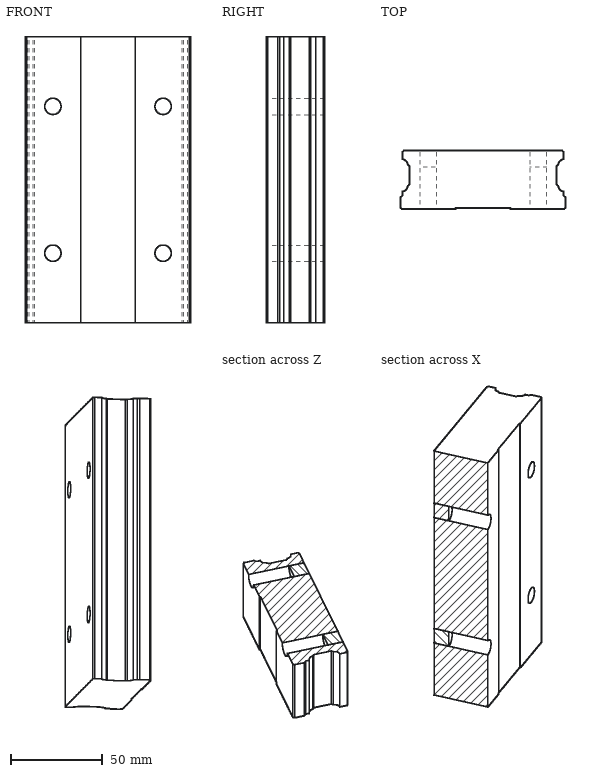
import cadquery as cq

length = 156.0
base_width = 90.0
height = 32.0

base_height = 6.4
head_width = 87.8
step_chamfer = (base_width - head_width) / 2
edge_chamfer = 0.8

groove_radius = 3.1
groove_height = 2.8

waist_width = 80.3
waist_bevel = 1.0
waist_bottom = 13.4
waist_top = 23.4

relief_width = 30.0
relief_depth = 0.5

hole_diameter = 8.9
hole_spacing_x = 60.0
hole_spacing_z = 80.0
plug_length = hole_diameter

hole_centers = [
    (side_x * hole_spacing_x / 2, side_z * hole_spacing_z / 2)
    for side_x in (-1, 1)
    for side_z in (-1, 1)
]


def half_rail():
    """The +X half of the rail section, extruded along the full length."""
    head_x = head_width / 2
    base_x = base_width / 2
    waist_x = waist_width / 2
    groove_x = waist_x + waist_bevel
    lower_groove_top = waist_bottom - waist_bevel
    lower_groove_bottom = lower_groove_top - groove_height
    upper_groove_bottom = waist_top + waist_bevel
    upper_groove_top = upper_groove_bottom + groove_height
    return (
        cq.Workplane("XY", origin=(0, 0, -length / 2))
        .moveTo(0, 0)
        .lineTo(base_x - edge_chamfer, 0)
        .lineTo(base_x, edge_chamfer)
        .lineTo(base_x, base_height)
        .lineTo(head_x, base_height + step_chamfer)
        .lineTo(head_x, lower_groove_bottom)
        .radiusArc((groove_x, lower_groove_top), groove_radius)
        .lineTo(waist_x, waist_bottom)
        .lineTo(waist_x, waist_top)
        .lineTo(groove_x, upper_groove_bottom)
        .radiusArc((head_x, upper_groove_top), groove_radius)
        .lineTo(head_x, height - edge_chamfer)
        .lineTo(head_x - edge_chamfer, height)
        .lineTo(0, height)
        .close()
        .extrude(length)
    )


def cylinder_along_y(center, start_y, cylinder_length):
    """Cylinder of the hole diameter, running toward +Y from start_y."""
    x, z = center
    return cq.Workplane(
        cq.Solid.makeCylinder(
            hole_diameter / 2, cylinder_length, cq.Vector(x, start_y, z), cq.Vector(0, 1, 0)
        )
    )


def make_rail():
    """Full rail with the relief in its mounting face and the four mounting holes."""
    right_half = half_rail()
    rail = right_half.union(right_half.mirror("YZ")).clean()
    relief = cq.Workplane("XY").box(relief_width, relief_depth, length).translate((0, relief_depth / 2, 0))
    rail = rail.cut(relief)
    for center in hole_centers:
        rail = rail.cut(cylinder_along_y(center, 0, height))
    return rail


def make_plug(center):
    """Plug that fills the upper end of one hole, flush with the top face."""
    return cylinder_along_y(center, height - plug_length, plug_length)


rail = make_rail()
plugs = [make_plug(center) for center in hole_centers]

result = cq.Compound.makeCompound([rail.val(), *[plug.val() for plug in plugs]])